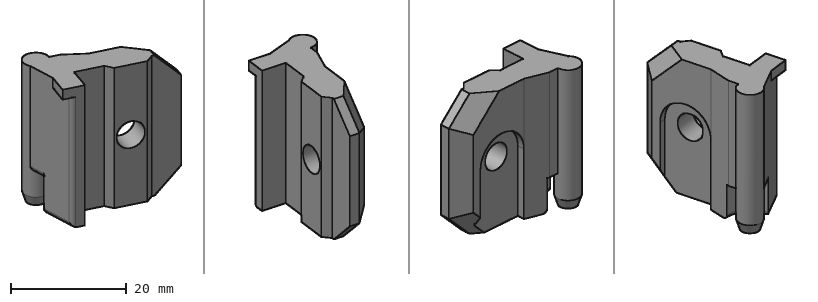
import cadquery as cq
import math

HEIGHT = 28.0
TAB_HEIGHT = 2.0
GROOVE_HEIGHT = 7.0

PIN_DIAMETER = 4.9
PIN_RADIUS = PIN_DIAMETER / 2
PIN_TIP_RADIUS = 1.82
PIN_TIP_LENGTH = 2.0
GROOVE_RADIUS = PIN_DIAMETER

PART_WIDTH = 13.85
PART_DEPTH = 26.95
X_MAX = PART_WIDTH - PIN_RADIUS
Y_MAX = PART_DEPTH - PIN_RADIUS
PLATE_FRONT_X = 1.5
PLATE_BACK_X = 6.5
NECK_Y = 4.55
FLARE_END_Y = 9.2
ARM_FRONT_Y = 0.28
ARM_BACK_Y = 4.45
SLOPE_END_X = 7.0
SLOPE_ANGLE = 21.0

CORNER_CUT = 5.0
RIM_CHAMFER = 3.0
HOLE_DIAMETER = 5.3
POCKET_RADIUS = HOLE_DIAMETER
HOLE_Y = FLARE_END_Y + POCKET_RADIUS
HOLE_Z = HEIGHT / 2
POCKET_DEPTH = 1.5
RIB_HALF_WIDTH = 4.45
RIB_RISE = 1.35

EDGE_RADIUS = 1.0
ARC_MID_OFFSET = EDGE_RADIUS * (1 - math.sqrt(0.5))
OVERCUT = 1.4
SELECT_MARGIN = 0.28


def slope_y(x):
    """Y of the sloped front face of the arm at a given x."""
    return ARM_FRONT_Y - (SLOPE_END_X - x) * math.tan(math.radians(SLOPE_ANGLE))


slope_unit_x = math.cos(math.radians(SLOPE_ANGLE))
slope_unit_y = math.sin(math.radians(SLOPE_ANGLE))
slope_offset = -slope_y(0) * slope_unit_x
along_slope = math.sqrt(PIN_RADIUS**2 - slope_offset**2)
slope_start = (
    slope_offset * slope_unit_y + along_slope * slope_unit_x,
    -slope_offset * slope_unit_x + along_slope * slope_unit_y,
)


def make_plate():
    """Plate with two cut corners and a chamfered rim on its -X face."""
    plate = (
        cq.Workplane("YZ", origin=(PLATE_FRONT_X, 0, 0))
        .moveTo(FLARE_END_Y, 0)
        .lineTo(Y_MAX - CORNER_CUT, 0)
        .lineTo(Y_MAX, CORNER_CUT)
        .lineTo(Y_MAX, HEIGHT - CORNER_CUT)
        .lineTo(Y_MAX - CORNER_CUT, HEIGHT)
        .lineTo(FLARE_END_Y, HEIGHT)
        .close()
        .extrude(PLATE_BACK_X - PLATE_FRONT_X)
    )
    rim = cq.selectors.BoxSelector(
        (PLATE_FRONT_X - SELECT_MARGIN, Y_MAX - CORNER_CUT, -SELECT_MARGIN),
        (PLATE_FRONT_X + SELECT_MARGIN, Y_MAX + SELECT_MARGIN, HEIGHT + SELECT_MARGIN),
    )
    return plate.edges(rim).chamfer(RIM_CHAMFER)


def make_rib():
    """Full-height rib with bevelled flanks on the back of the plate."""
    rib_top_half = RIB_HALF_WIDTH - RIB_RISE
    return (
        cq.Workplane("XY")
        .moveTo(PLATE_BACK_X, HOLE_Y - RIB_HALF_WIDTH)
        .lineTo(PLATE_BACK_X + RIB_RISE, HOLE_Y - rib_top_half)
        .lineTo(PLATE_BACK_X + RIB_RISE, HOLE_Y + rib_top_half)
        .lineTo(PLATE_BACK_X, HOLE_Y + RIB_HALF_WIDTH)
        .close()
        .extrude(HEIGHT)
    )


def make_arm():
    """Neck, flare and arm, with the arm's free front edge rounded."""
    arm = (
        cq.Workplane("XY")
        .lineTo(0, NECK_Y)
        .lineTo(PLATE_FRONT_X, FLARE_END_Y)
        .lineTo(PLATE_BACK_X, FLARE_END_Y)
        .lineTo(PLATE_BACK_X, ARM_BACK_Y)
        .lineTo(X_MAX, ARM_BACK_Y)
        .lineTo(X_MAX, slope_y(X_MAX))
        .lineTo(*slope_start)
        .close()
        .extrude(HEIGHT)
    )
    free_edge = cq.selectors.NearestToPointSelector((X_MAX, slope_y(X_MAX), HEIGHT / 2))
    return arm.edges("|Z").edges(free_edge).fillet(EDGE_RADIUS)


def slope_edge_cutter(z):
    """Tool that rounds a lower edge of the sloped face at height z."""
    length = PART_WIDTH + 2 * OVERCUT
    plane = cq.Plane(
        origin=(-OVERCUT, slope_y(-OVERCUT), z),
        xDir=(-slope_unit_y, slope_unit_x, 0),
        normal=(slope_unit_x, slope_unit_y, 0),
    )
    return (
        cq.Workplane(plane)
        .moveTo(0, EDGE_RADIUS)
        .threePointArc((ARC_MID_OFFSET, ARC_MID_OFFSET), (EDGE_RADIUS, 0))
        .lineTo(EDGE_RADIUS, -OVERCUT)
        .lineTo(-OVERCUT, -OVERCUT)
        .lineTo(-OVERCUT, EDGE_RADIUS)
        .close()
        .extrude(length)
    )


def make_groove():
    """Clearance around the pin's lower end, flared at the bottom face."""
    flare_radius = GROOVE_RADIUS + EDGE_RADIUS
    return (
        cq.Workplane("XZ")
        .lineTo(flare_radius, 0)
        .threePointArc((GROOVE_RADIUS + ARC_MID_OFFSET, ARC_MID_OFFSET), (GROOVE_RADIUS, EDGE_RADIUS))
        .lineTo(GROOVE_RADIUS, GROOVE_HEIGHT)
        .lineTo(0, GROOVE_HEIGHT)
        .close()
        .revolve(360, (0, 0, 0), (0, 1, 0))
    )


def make_pin():
    """Full-height round pin with a tapered lower tip."""
    return (
        cq.Workplane("XZ")
        .lineTo(PIN_TIP_RADIUS, 0)
        .lineTo(PIN_RADIUS, PIN_TIP_LENGTH)
        .lineTo(PIN_RADIUS, HEIGHT)
        .lineTo(0, HEIGHT)
        .close()
        .revolve(360, (0, 0, 0), (0, 1, 0))
    )


def make_tab():
    """Square-cornered tab at the top of the arm."""
    return (
        cq.Workplane("XY")
        .box(X_MAX - SLOPE_END_X, ARM_BACK_Y - ARM_FRONT_Y, TAB_HEIGHT, centered=False)
        .translate((SLOPE_END_X, ARM_FRONT_Y, HEIGHT - TAB_HEIGHT))
    )


def make_pocket():
    """Round-topped pocket around the hole, open at the bottom of the plate."""
    return (
        cq.Workplane("YZ", origin=(PLATE_FRONT_X - OVERCUT, 0, 0))
        .moveTo(HOLE_Y - POCKET_RADIUS, 0)
        .lineTo(HOLE_Y - POCKET_RADIUS, HOLE_Z)
        .threePointArc((HOLE_Y, HOLE_Z + POCKET_RADIUS), (HOLE_Y + POCKET_RADIUS, HOLE_Z))
        .lineTo(HOLE_Y + POCKET_RADIUS, 0)
        .close()
        .extrude(POCKET_DEPTH + OVERCUT)
    )


def make_hole():
    """Through hole across the plate and rib."""
    return (
        cq.Workplane("YZ")
        .center(HOLE_Y, HOLE_Z)
        .circle(HOLE_DIAMETER / 2)
        .extrude(X_MAX)
    )


groove_column = cq.Workplane("XY").circle(GROOVE_RADIUS).extrude(HEIGHT)
ceiling_rounding = slope_edge_cutter(GROOVE_HEIGHT).intersect(groove_column)

arm = make_arm().cut(slope_edge_cutter(0)).cut(make_groove()).cut(ceiling_rounding)
plate = make_plate().union(make_rib()).cut(make_pocket()).cut(make_hole())

result = arm.union(plate).union(make_tab()).union(make_pin())